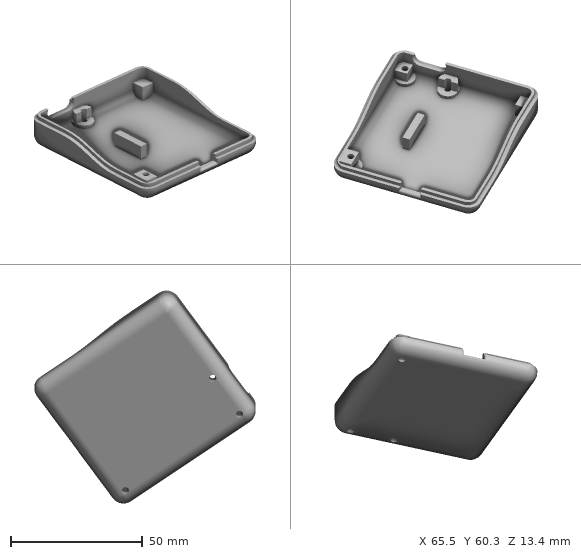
import cadquery as cq
import math

LENGTH = 65.54
WIDTH = 60.31
HEIGHT = 13.39
CORNER_RADIUS = 5.08
WALL = 2.54
FLOOR = WALL
INNER_RADIUS = CORNER_RADIUS - WALL
FILLET_MARGIN = 0.001
ROOT_Z = FLOOR / 2

RIM_DROP = 5.84
BEND_START_X = 24.13
BEND_END_X = 41.91
BEND_RADIUS = 33.3
LIP_HEIGHT = 1.52
SHOULDER_X = 1.27
SHOULDER_Y = 1.52
LIP_CORNER_RADIUS = CORNER_RADIUS - SHOULDER_X

SLOT_LENGTH = 13.95
SLOT_HEIGHT = 6.1
SLOT_BOTTOM = 8.72
SLOT_Y = 14.67

NOTCH_WIDTH = 8.55
NOTCH_Y = 33.0
NOTCH_BOTTOM = 4.32
NOTCH_EDGE_RADIUS = 0.76
EDGE_MARGIN = 0.05
NOTCH_SHOULDER_Z = HEIGHT - LIP_HEIGHT - RIM_DROP

HOLE_DIAMETER = 2.7
HOLE_LEFT_X = 5.75
HOLE_RIGHT_X = 58.97
HOLE_FRONT_Y = 5.97
HOLE_MIDDLE_Y = 23.65
FRONT_LEFT_BASE_RADIUS = 4.07
MIDDLE_BASE_RADIUS = 3.98
FRONT_RIGHT_BASE_RADIUS = 4.47
BASE_TOP = 4.06
MIDDLE_BLOCK_WIDTH = 8.1

POST_TOP = 8.65
LOW_POST_TOP = 8.38
POST_BACK_Y = 7.85
LEFT_POST_END_X = 8.13
RIGHT_POST_START_X = 55.6
RIGHT_POST_OUTER_RADIUS = 1.1
RIGHT_POST_INNER_RADIUS = 0.5
CORNER_SUPPORT_END_X = 7.95
CORNER_SUPPORT_START_Y = 52.4

RIB_X = 26.55
RIB_Y = 19.94
RIB_LENGTH = 14.8
RIB_THICKNESS = 2.95


def box(x0, x1, y0, y1, z0, z1):
    """Box given by its limits along each axis."""
    return cq.Workplane("XY").box(x1 - x0, y1 - y0, z1 - z0, centered=False).translate((x0, y0, z0))


def cylinder(x, y, radius, z0, z1):
    """Upright cylinder between two heights."""
    return cq.Workplane("XY").circle(radius).extrude(z1 - z0).translate((x, y, z0))


def rounded_block(inset_x, inset_y, corner_radius, bottom):
    """Block inset from the tray outline, with rounded vertical edges."""
    block = box(inset_x, LENGTH - inset_x, inset_y, WIDTH - inset_y, bottom, HEIGHT)
    return block.edges("|Z").fillet(corner_radius)


def round_bottom(block, radius):
    """Round the edges around the underside of a block."""
    return block.faces("<Z").edges().fillet(radius - FILLET_MARGIN)


def below_rim(top):
    """Everything below an S-shaped rim whose high left end is at the given height."""
    bend_angle = math.atan2(RIM_DROP, BEND_END_X - BEND_START_X)
    tangent = BEND_RADIUS * math.tan(bend_angle / 2)
    run = tangent * math.cos(bend_angle)
    fall = tangent * math.sin(bend_angle)
    mid_arc_run = BEND_RADIUS * math.sin(bend_angle / 2)
    mid_arc_fall = BEND_RADIUS * (1 - math.cos(bend_angle / 2))
    low = top - RIM_DROP
    high_arc_x = BEND_START_X - tangent
    low_arc_x = BEND_END_X + tangent
    return (
        cq.Workplane("XZ")
        .lineTo(0, top)
        .lineTo(high_arc_x, top)
        .threePointArc((high_arc_x + mid_arc_run, top - mid_arc_fall), (BEND_START_X + run, top - fall))
        .lineTo(BEND_END_X - run, low + fall)
        .threePointArc((low_arc_x - mid_arc_run, low + mid_arc_fall), (low_arc_x, low))
        .lineTo(LENGTH, low)
        .lineTo(LENGTH, 0)
        .close()
        .extrude(-WIDTH)
    )


def make_tray():
    """Hollow tray with rounded underside, stepped lip and S-shaped rim."""
    outer = round_bottom(rounded_block(0, 0, CORNER_RADIUS, 0), CORNER_RADIUS)
    shoulder_body = outer.intersect(below_rim(HEIGHT - LIP_HEIGHT))
    lip = rounded_block(SHOULDER_X, SHOULDER_Y, LIP_CORNER_RADIUS, CORNER_RADIUS)
    lip_body = lip.intersect(below_rim(HEIGHT))
    cavity = round_bottom(rounded_block(WALL, WALL, INNER_RADIUS, FLOOR), INNER_RADIUS)
    return shoulder_body.union(lip_body).cut(cavity)


def cut_slot(body):
    slot = (
        cq.Workplane("YZ")
        .center(SLOT_Y, SLOT_BOTTOM + SLOT_HEIGHT / 2)
        .slot2D(SLOT_LENGTH, SLOT_HEIGHT)
        .extrude(WALL)
    )
    return body.cut(slot)


def cut_notch(body):
    """Cut the notch and round its outer bottom and side edges below the shoulder."""
    front_y = NOTCH_Y - NOTCH_WIDTH / 2
    back_y = NOTCH_Y + NOTCH_WIDTH / 2
    body = body.cut(box(LENGTH - CORNER_RADIUS, LENGTH, front_y, back_y, NOTCH_BOTTOM, HEIGHT))
    outer_edges = cq.selectors.BoxSelector(
        (LENGTH - SHOULDER_X / 2, front_y - EDGE_MARGIN, NOTCH_BOTTOM - EDGE_MARGIN),
        (LENGTH + EDGE_MARGIN, back_y + EDGE_MARGIN, NOTCH_SHOULDER_Z - EDGE_MARGIN),
    )
    return body.edges(outer_edges).fillet(NOTCH_EDGE_RADIUS)


def make_bases():
    """Round bases around the screw holes; the middle one is squared off toward the left wall."""
    front_left = cylinder(HOLE_LEFT_X, HOLE_FRONT_Y, FRONT_LEFT_BASE_RADIUS, ROOT_Z, BASE_TOP)
    middle = cylinder(HOLE_LEFT_X, HOLE_MIDDLE_Y, MIDDLE_BASE_RADIUS, ROOT_Z, BASE_TOP)
    front_right = cylinder(HOLE_RIGHT_X, HOLE_FRONT_Y, FRONT_RIGHT_BASE_RADIUS, ROOT_Z, BASE_TOP)
    middle_square = middle_half_box(BASE_TOP)
    return front_left.union(middle).union(front_right).union(middle_square)


def middle_half_box(top):
    """Block from the left wall to the axis of the middle hole."""
    return box(
        WALL,
        HOLE_LEFT_X,
        HOLE_MIDDLE_Y - MIDDLE_BLOCK_WIDTH / 2,
        HOLE_MIDDLE_Y + MIDDLE_BLOCK_WIDTH / 2,
        ROOT_Z,
        top,
    )


def make_posts():
    """Left front post, half-round middle post and back left corner support."""
    front_left = box(WALL, LEFT_POST_END_X, WALL, POST_BACK_Y, ROOT_Z, LOW_POST_TOP)
    half_round = cylinder(HOLE_LEFT_X, HOLE_MIDDLE_Y, MIDDLE_BASE_RADIUS, ROOT_Z, LOW_POST_TOP)
    half_round = half_round.intersect(middle_half_box(LOW_POST_TOP))
    support = box(WALL, CORNER_SUPPORT_END_X, CORNER_SUPPORT_START_Y, WIDTH - WALL, ROOT_Z, LOW_POST_TOP)
    return front_left.union(half_round).union(support)


def make_right_post():
    """Front right post, rising above the lip with rounded front edges."""
    post = box(RIGHT_POST_START_X, LENGTH - WALL, WALL, POST_BACK_Y, ROOT_Z, POST_TOP)
    post = post.edges("|Z and >X and <Y").fillet(RIGHT_POST_OUTER_RADIUS)
    return post.edges("|Z and <X and <Y").fillet(RIGHT_POST_INNER_RADIUS)


def make_rib():
    return box(RIB_X, RIB_X + RIB_LENGTH, RIB_Y, RIB_Y + RIB_THICKNESS, ROOT_Z, LOW_POST_TOP)


def cut_screw_holes(body):
    hole_centers = [
        (HOLE_LEFT_X, HOLE_FRONT_Y),
        (HOLE_LEFT_X, HOLE_MIDDLE_Y),
        (HOLE_RIGHT_X, HOLE_FRONT_Y),
    ]
    for x, y in hole_centers:
        body = body.cut(cylinder(x, y, HOLE_DIAMETER / 2, 0, HEIGHT))
    return body


tray = cut_notch(cut_slot(make_tray()))
interior = rounded_block(WALL, WALL, INNER_RADIUS, 0)
standing_parts = make_bases().union(make_posts()).intersect(interior)
result = tray.union(standing_parts).union(make_right_post()).union(make_rib())
result = cut_screw_holes(result)